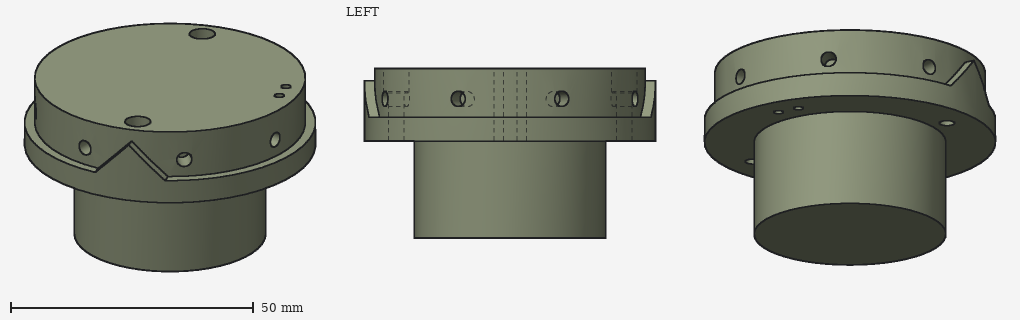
import cadquery as cq
import math

spigot_diameter = 39.55
spigot_height = 20.0
flange_diameter = 60.0
flange_height = 5.0
head_diameter = 55.8
head_height = 10.0

flange_top = spigot_height + flange_height
total_height = flange_top + head_height

mark_height = 7.5
mark_half_width = mark_height

radial_hole_count = 8
radial_hole_diameter = 3.1
radial_hole_depth = 4.8
radial_hole_z = flange_top + mark_height / 2

mount_hole_diameter = 3.2
counterbore_diameter = 5.3
counterbore_depth = 5.0
mount_hole_offset = 23.45

small_hole_diameter = 2.0
small_hole_offset = 24.2
small_hole_spacing = 4.8


def stacked_body():
    """Spigot, flange and head on one axis."""
    spigot = cq.Workplane("XY").circle(spigot_diameter / 2).extrude(spigot_height)
    flange_base = cq.Workplane("XY").workplane(offset=spigot_height)
    flange = flange_base.circle(flange_diameter / 2).extrude(flange_height)
    head_base = cq.Workplane("XY").workplane(offset=flange_top)
    head = head_base.circle(head_diameter / 2).extrude(head_height)
    return spigot.union(flange).union(head)


def index_marks():
    """Opposed triangles at -Y and +Y, trimmed to the ring between head and flange rim."""
    ring = (
        cq.Workplane("XY")
        .workplane(offset=flange_top)
        .circle(flange_diameter / 2)
        .circle(head_diameter / 2)
        .extrude(mark_height)
    )
    prism = (
        cq.Workplane("XZ")
        .moveTo(-mark_half_width, flange_top)
        .lineTo(mark_half_width, flange_top)
        .lineTo(0, flange_top + mark_height)
        .close()
        .extrude(flange_diameter / 2, both=True)
    )
    return ring.intersect(prism)


def radial_hole(angle):
    """Cutter pointing outward from the hole floor through the head wall."""
    floor_radius = head_diameter / 2 - radial_hole_depth
    direction = cq.Vector(math.cos(angle), math.sin(angle), 0)
    start = direction * floor_radius + cq.Vector(0, 0, radial_hole_z)
    length = flange_diameter / 2 - floor_radius
    return cq.Solid.makeCylinder(radial_hole_diameter / 2, length, start, direction)


result = stacked_body().union(index_marks())

angle_step = 2 * math.pi / radial_hole_count
for index in range(radial_hole_count):
    result = result.cut(cq.Workplane(obj=radial_hole((index + 0.5) * angle_step)))

top_plane = cq.Workplane("XY").workplane(offset=total_height)

mount_points = [(0, -mount_hole_offset), (0, mount_hole_offset)]
mount_layout = top_plane.pushPoints(mount_points)
result = result.cut(mount_layout.circle(mount_hole_diameter / 2).extrude(-total_height))
result = result.cut(mount_layout.circle(counterbore_diameter / 2).extrude(-counterbore_depth))

small_points = [(small_hole_offset, side * small_hole_spacing / 2) for side in (-1, 1)]
small_layout = top_plane.pushPoints(small_points)
result = result.cut(small_layout.circle(small_hole_diameter / 2).extrude(-total_height))